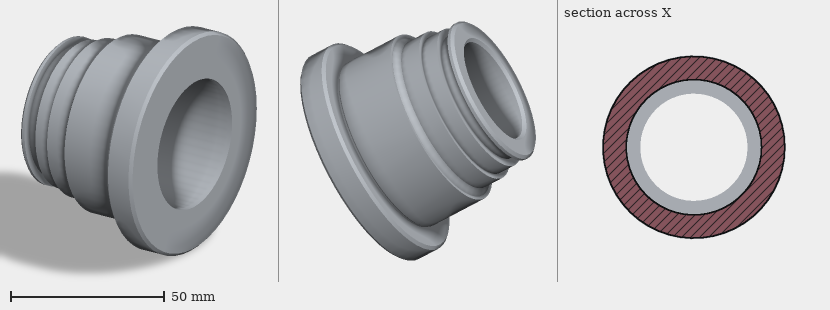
import cadquery as cq

flange_radius = 37.5
total_length = 52.0
flange_thickness = 10.0
edge_chamfer = 1.0

nose_radius = 25.0
groove_radius = 22.35
groove_start = 2.0
groove_end = 6.2
nose_end = 12.0
land_radius = 26.8

cone_start = 19.0
cone_height = 2.0
body_start = cone_start + cone_height
cone_end_radius = land_radius + cone_height
body_radius = 30.0

relief_depth = 0.3
valley_depth = 0.2
relief_width = 1.0
flange_start = total_length - flange_thickness
relief_start = flange_start - relief_width
relief_radius = body_radius - relief_depth

bore_radius = 17.5
wide_bore_radius = 22.0
wide_bore_start = 20.55

half_section = [
    (0, bore_radius + edge_chamfer),
    (0, nose_radius - edge_chamfer),
    (edge_chamfer, nose_radius),
    (groove_start, nose_radius),
    (groove_start, groove_radius),
    (groove_end, groove_radius),
    (groove_end, nose_radius),
    (nose_end, nose_radius),
    (nose_end, land_radius),
    (cone_start, land_radius),
    (body_start, cone_end_radius),
    (body_start, body_radius),
    (relief_start, body_radius),
    (relief_start, relief_radius),
    (relief_start + relief_width / 2, relief_radius - valley_depth),
    (flange_start, relief_radius),
    (flange_start, flange_radius - edge_chamfer),
    (flange_start + edge_chamfer, flange_radius),
    (total_length - edge_chamfer, flange_radius),
    (total_length, flange_radius - edge_chamfer),
    (total_length, wide_bore_radius),
    (wide_bore_start, wide_bore_radius),
    (wide_bore_start, bore_radius),
    (edge_chamfer, bore_radius),
]

result = cq.Workplane("XY").polyline(half_section).close().revolve(360, (0, 0, 0), (1, 0, 0))